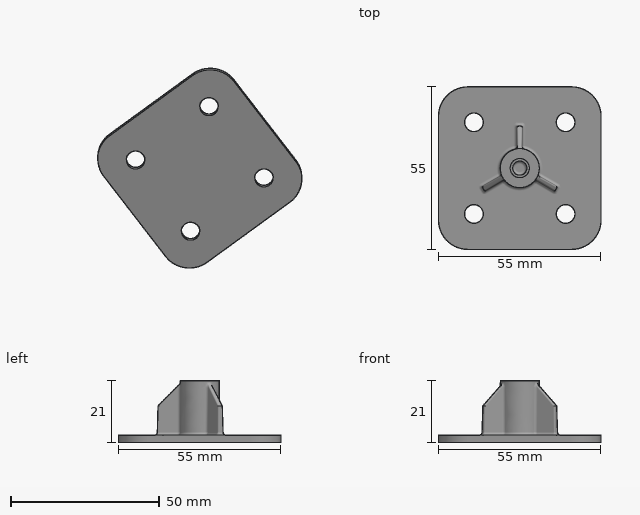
import cadquery as cq
import math

plate_side = 55.0
plate_thickness = 2.55
plate_corner_radius = 10.0
mounting_hole_diameter = 6.2
mounting_hole_spacing = 30.95

total_height = 20.95
boss_height = total_height - plate_thickness
boss_top_radius = 6.6
boss_draft = 0.5

counterbore_diameter = 6.5
counterbore_depth = 2.0
bore_mouth_diameter = 4.8
bore_depth = 12.1
bore_draft = 1.0
bore_floor_rounding = 0.9

rib_count = 3
first_rib_angle = 90.0
rib_reach = 14.4
rib_foot_width = 2.1
rib_draft = 1.0
rib_tip_draft = 1.5
rib_shoulder_height = 9.9
rib_slope = 45.0
rib_root_radius = 6.05

rib_edge_radius = 0.5
blend_radius = 1.0
edge_search_margin = 0.05


def taper(length, angle):
    """Sideways shift of a face that leans by the given angle over the given length."""
    return length * math.tan(math.radians(angle))


boss_foot_radius = boss_top_radius + taper(boss_height, boss_draft)


def make_plate():
    """Square plate with round corners and four through holes."""
    return (
        cq.Workplane("XY")
        .rect(plate_side, plate_side)
        .extrude(plate_thickness)
        .edges("|Z")
        .fillet(plate_corner_radius)
        .faces(">Z")
        .workplane()
        .rect(mounting_hole_spacing, mounting_hole_spacing, forConstruction=True)
        .vertices()
        .hole(mounting_hole_diameter)
    )


def make_boss():
    """Round post that narrows slightly towards its top."""
    return (
        cq.Workplane("XY", origin=(0, 0, plate_thickness))
        .circle(boss_foot_radius)
        .extrude(boss_height, taper=boss_draft)
    )


def make_rib():
    """Rib along +X: a drafted blade trimmed to its side profile, with rounded outer edges."""
    shoulder_reach = rib_reach - taper(rib_shoulder_height, rib_tip_draft)
    root_height = rib_shoulder_height + taper(shoulder_reach - rib_root_radius, rib_slope)
    side_profile = (
        cq.Workplane("XZ", origin=(0, 0, plate_thickness))
        .moveTo(rib_root_radius, 0)
        .lineTo(rib_reach, 0)
        .lineTo(shoulder_reach, rib_shoulder_height)
        .lineTo(rib_root_radius, root_height)
        .close()
        .extrude(rib_foot_width, both=True)
    )
    half_foot = rib_foot_width / 2
    half_top = half_foot - taper(boss_height, rib_draft)
    blade = (
        cq.Workplane("YZ", origin=(0, 0, plate_thickness))
        .moveTo(-half_foot, 0)
        .lineTo(half_foot, 0)
        .lineTo(half_top, boss_height)
        .lineTo(-half_top, boss_height)
        .close()
        .extrude(rib_reach)
    )
    outer_edges = cq.selectors.BoxSelector(
        (boss_top_radius, -rib_foot_width, plate_thickness + rib_edge_radius),
        (rib_reach, rib_foot_width, total_height),
    )
    return side_profile.intersect(blade).edges(outer_edges).edges("not |Y").fillet(rib_edge_radius)


def make_hub():
    """Boss with its ribs."""
    hub = make_boss()
    rib = make_rib()
    for index in range(rib_count):
        angle = first_rib_angle + index * 360 / rib_count
        hub = hub.union(rib.rotate((0, 0, 0), (0, 0, 1), angle))
    return hub


def make_bore():
    """Counterbore above a tapered blind hole with a rounded floor."""
    hole = (
        cq.Workplane("XY", origin=(0, 0, total_height - counterbore_depth))
        .circle(bore_mouth_diameter / 2)
        .extrude(counterbore_depth - bore_depth, taper=bore_draft)
        .faces("<Z")
        .edges()
        .fillet(bore_floor_rounding)
    )
    counterbore = (
        cq.Workplane("XY", origin=(0, 0, total_height))
        .circle(counterbore_diameter / 2)
        .extrude(-counterbore_depth)
    )
    return hole.union(counterbore)


def blend_hub(body):
    """Round off the inside corners where the boss, the ribs and the plate meet."""
    boss_zone = cq.selectors.BoxSelector(
        (-boss_foot_radius, -boss_foot_radius, plate_thickness + blend_radius),
        (boss_foot_radius, boss_foot_radius, total_height - rib_edge_radius),
    )
    bore_radius = counterbore_diameter / 2
    bore_zone = cq.selectors.BoxSelector(
        (-bore_radius, -bore_radius, plate_thickness),
        (bore_radius, bore_radius, total_height),
    )
    hub_foot = cq.selectors.BoxSelector(
        (-rib_reach, -rib_reach, plate_thickness - edge_search_margin),
        (rib_reach, rib_reach, plate_thickness + edge_search_margin),
    )
    rib_roots = body.edges(boss_zone - bore_zone).edges("not %LINE")
    return rib_roots.add(body.edges(hub_foot)).fillet(blend_radius)


body = make_plate().union(make_hub()).cut(make_bore())
result = blend_hub(body).solids()